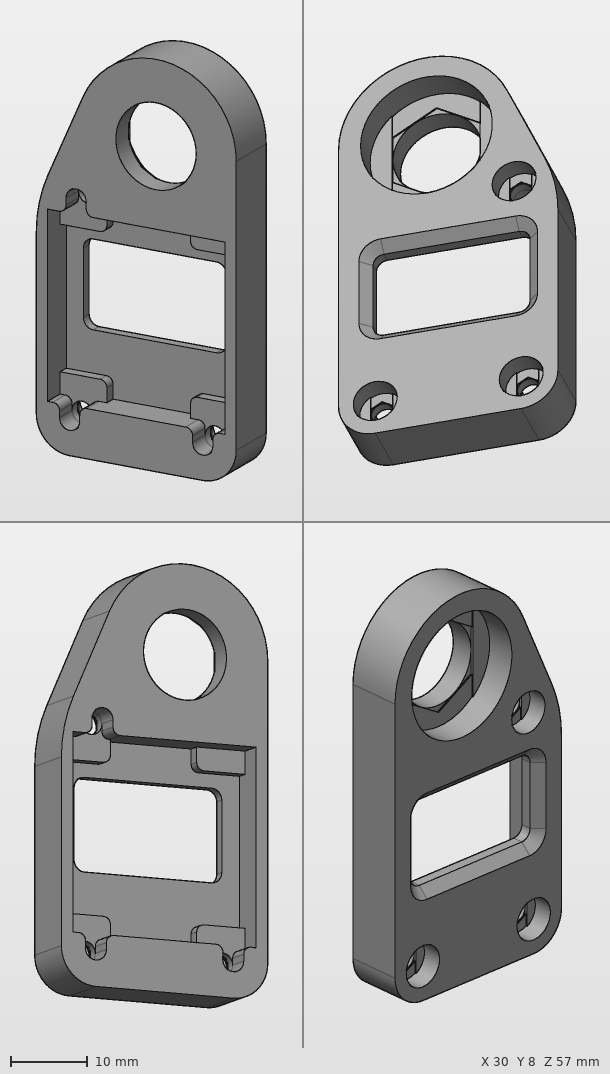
import cadquery as cq
import math

width = 30.0
height = 57.0
thickness = 8.0
base_corner_radius = 5.0
head_radius = 12.0
flank_radius = 20.0
flank_base_z = 30.05

bore_diameter = 12.0
seat_diameter = 18.0
seat_depth = 4.2
head_x = width - head_radius
head_z = height - head_radius

bridge_layer = 0.2

pocket_size = 26.55
pocket_bottom = 6.95
pocket_depth = 4.95
pocket_left = (width - pocket_size) / 2
pocket_top = pocket_bottom + pocket_size

pad_width = 7.0
pad_height = 3.1
pad_thickness = 1.65
pad_corner_radius = 1.0

window_width = 21.4
window_height = 12.55
window_bottom = 16.0
window_corner_radius = 1.5
window_chamfer = 1.5

screw_diameter = 3.0
head_recess_diameter = 6.0
head_recess_depth = 2.85
slot_depth = pocket_depth - pad_thickness
slot_mouth_radius = 1.0
lower_screw_inset = 5.0
lower_screw_z = 5.0
upper_screw_x = 6.0
upper_screw_z = 35.5


def front_plane(depth=0.0):
    """Sketch plane at a depth behind the front face, with X right and Z up."""
    return cq.Workplane(cq.Plane((0, depth, 0), (1, 0, 0), (0, -1, 0)))


def extrude_back(sketch, length):
    return sketch.extrude(-length)


def box(left, bottom, wide, tall, depth, length):
    sketch = front_plane(depth).center(left + wide / 2, bottom + tall / 2).rect(wide, tall)
    return extrude_back(sketch, length)


def cylinder(x, z, diameter, depth, length):
    return extrude_back(front_plane(depth).center(x, z).circle(diameter / 2), length)


def plate():
    center_shift_x = flank_radius - head_x
    center_shift_z = head_z - flank_base_z
    center_distance = math.hypot(center_shift_x, center_shift_z)
    lean = math.atan2(center_shift_x, center_shift_z)
    flank_angle = math.asin((flank_radius - head_radius) / center_distance) - lean
    cos_a = math.cos(flank_angle)
    sin_a = math.sin(flank_angle)
    head_tangent = (head_x - head_radius * cos_a, head_z + head_radius * sin_a)
    flank_top_x = flank_radius * (1 - cos_a)
    flank_top_z = flank_base_z + flank_radius * sin_a
    flank_mid = (
        flank_radius * (1 - math.cos(flank_angle / 2)),
        flank_base_z + flank_radius * math.sin(flank_angle / 2),
    )
    outline = (
        front_plane()
        .moveTo(0, 0)
        .lineTo(width, 0)
        .lineTo(width, head_z)
        .threePointArc((head_x, height), head_tangent)
        .lineTo(flank_top_x, flank_top_z)
        .threePointArc(flank_mid, (0, flank_base_z))
        .close()
    )
    blank = extrude_back(outline, thickness)
    return blank.faces("<Z").edges("|Y").fillet(base_corner_radius)


def corner_pads():
    pads = cq.Workplane()
    for left, inner in ((pocket_left, ">X"), (pocket_left + pocket_size - pad_width, "<X")):
        for bottom, facing in ((pocket_bottom, ">Z"), (pocket_top - pad_height, "<Z")):
            pad = box(left, bottom, pad_width, pad_height, slot_depth, pad_thickness)
            pad = pad.faces(inner).edges(facing).fillet(pad_corner_radius)
            pads = pads.add(pad)
    return pads.combine()


def bridge_steps(x, z, hole_diameter, recess_diameter, recess_floor):
    """Two thin steps in front of a recess floor: a hexagon, then a slot as wide as the hole."""
    hexagon = front_plane(recess_floor - 2 * bridge_layer).center(x, z)
    hexagon = hexagon.polygon(6, hole_diameter, circumscribed=True)
    hexagon = extrude_back(hexagon, 2 * bridge_layer)
    slot = box(
        x - hole_diameter / 2,
        z - recess_diameter / 2,
        hole_diameter,
        recess_diameter,
        recess_floor - bridge_layer,
        bridge_layer,
    )
    slot = slot.intersect(cylinder(x, z, recess_diameter, recess_floor - bridge_layer, bridge_layer))
    return hexagon.union(slot)


def screw_slot(x, z, mouth_z):
    """Slot from a screw hole to the pocket edge at mouth_z, flaring out where it meets the pocket."""
    inward = math.copysign(1, mouth_z - z)
    half = screw_diameter / 2
    flare = half + slot_mouth_radius
    bulge = slot_mouth_radius * (1 - math.sqrt(0.5))
    neck_z = mouth_z - inward * slot_mouth_radius
    sketch = (
        front_plane()
        .moveTo(x - flare, mouth_z)
        .threePointArc((x - half - bulge, mouth_z - inward * bulge), (x - half, neck_z))
        .lineTo(x - half, z)
        .threePointArc((x, z - inward * half), (x + half, z))
        .lineTo(x + half, neck_z)
        .threePointArc((x + half + bulge, mouth_z - inward * bulge), (x + flare, mouth_z))
        .close()
    )
    return extrude_back(sketch, slot_depth)


def stepped_hole(x, z, hole_diameter, recess_diameter, recess_depth):
    """Through hole with a wider round recess at the back and bridge steps between the two."""
    recess_floor = thickness - recess_depth
    hole = cylinder(x, z, hole_diameter, 0, thickness)
    recess = cylinder(x, z, recess_diameter, recess_floor, recess_depth)
    return hole.union(bridge_steps(x, z, hole_diameter, recess_diameter, recess_floor)).union(recess)


def pocket():
    block = box(pocket_left, pocket_bottom, pocket_size, pocket_size, 0, pocket_depth)
    return block.cut(corner_pads())


def cut_window(body):
    """Rounded opening through the pocket floor, chamfered where it leaves the back face."""
    left = (width - window_width) / 2
    opening = box(left, window_bottom, window_width, window_height, 0, thickness)
    opened = body.cut(opening.edges("|Y").fillet(window_corner_radius))
    margin = 0.55
    back_rim = cq.selectors.BoxSelector(
        (left - margin, thickness - margin, window_bottom - margin),
        (left + window_width + margin, thickness + margin, window_bottom + window_height + margin),
    )
    return opened.edges(back_rim).chamfer(window_chamfer)


result = plate()
result = result.cut(stepped_hole(head_x, head_z, bore_diameter, seat_diameter, seat_depth))
result = result.cut(pocket())
result = cut_window(result)

screws = (
    (lower_screw_inset, lower_screw_z, pocket_bottom),
    (width - lower_screw_inset, lower_screw_z, pocket_bottom),
    (upper_screw_x, upper_screw_z, pocket_top),
)
for screw_x, screw_z, mouth in screws:
    result = result.cut(screw_slot(screw_x, screw_z, mouth))
    result = result.cut(
        stepped_hole(screw_x, screw_z, screw_diameter, head_recess_diameter, head_recess_depth)
    )